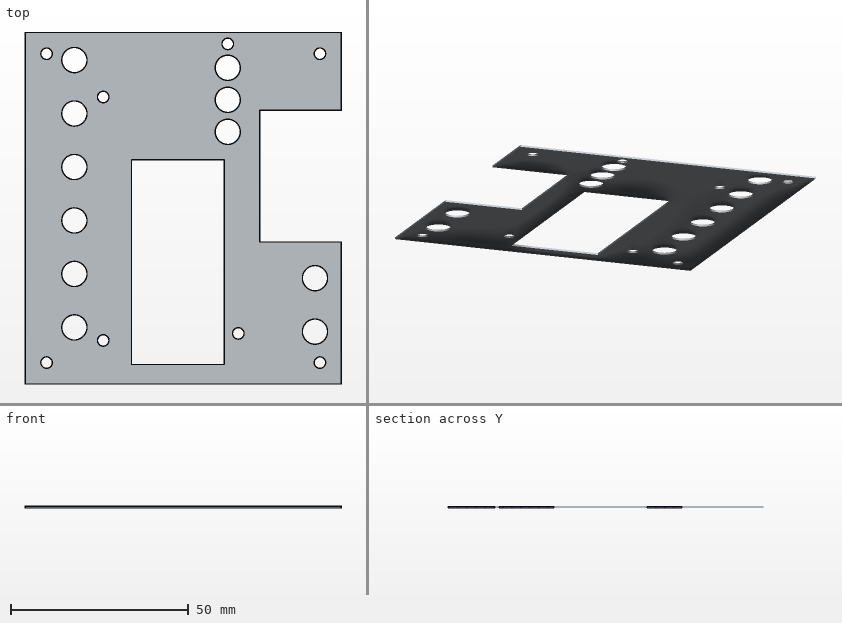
import cadquery as cq

width = 89.0
height = 99.0
thickness = 0.52

notch_left = 66.0
notch_bottom = 40.0
notch_height = 37.0

window_left = 30.0
window_bottom = 5.5
window_width = 26.0
window_height = 57.5

screw_diameter = 3.2
corner_inset = 6.0
inner_screw_left = 22.0
inner_screw_right = 60.0
inner_screw_bottom = 12.3
inner_screw_right_y = 14.3
inner_screw_top = 80.8
top_screw_y = 95.7

large_diameter = 7.0
large_pitch = 15.0
left_column_x = 13.9
left_column_bottom = 15.9
left_column_count = 6
right_column_x = 81.6
right_column_bottom = 14.8
right_column_count = 2
middle_column_x = 57.0
middle_column_bottom = 71.0
middle_pitch = 9.0
middle_column_count = 3


def rectangle_cutter(left, bottom, size_x, size_y):
    return cq.Workplane("XY").box(size_x, size_y, thickness, centered=False).translate((left, bottom, 0))


def hole_cutters(points, diameter):
    return cq.Workplane("XY").pushPoints(points).circle(diameter / 2).extrude(thickness)


def column(x, bottom, pitch, count):
    return [(x, bottom + i * pitch) for i in range(count)]


plate = cq.Workplane("XY").box(width, height, thickness, centered=False)

plate = plate.cut(rectangle_cutter(notch_left, notch_bottom, width - notch_left, notch_height))
plate = plate.cut(rectangle_cutter(window_left, window_bottom, window_width, window_height))

screw_points = [
    (x, y)
    for x in (corner_inset, width - corner_inset)
    for y in (corner_inset, height - corner_inset)
]
screw_points += [
    (inner_screw_left, inner_screw_bottom),
    (inner_screw_left, inner_screw_top),
    (inner_screw_right, inner_screw_right_y),
    (middle_column_x, top_screw_y),
]
plate = plate.cut(hole_cutters(screw_points, screw_diameter))

large_points = column(left_column_x, left_column_bottom, large_pitch, left_column_count)
large_points += column(right_column_x, right_column_bottom, large_pitch, right_column_count)
large_points += column(middle_column_x, middle_column_bottom, middle_pitch, middle_column_count)
plate = plate.cut(hole_cutters(large_points, large_diameter))

result = plate